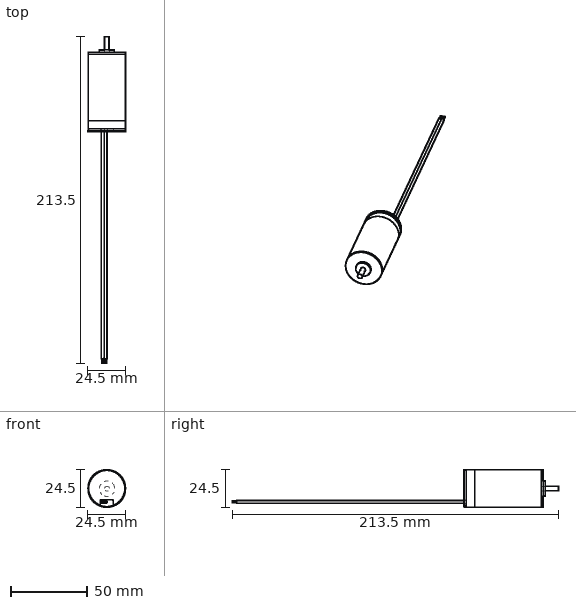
import cadquery as cq

overall_length = 213.5
motor_diameter = 24.5
motor_length = 52.0

flange_thickness = 1.3
boss_diameter = 10.0
boss_height = 1.5

shaft_diameter = 3.2
shaft_reach = 10.0

cap_length = 7.3
cap_rim_thickness = 0.5
cover_thickness = 0.6
spigot_length = 1.3

slot_width = 8.5
slot_top_z = -7.5
slot_corner_radius = 0.6

lead_diameter = 2.0
lead_contact_x = -1.7
lead_z = -8.8
bare_diameter = 1.3
bare_length = 3.0

flange_back_y = -flange_thickness
cover_end_y = -motor_length
cap_front_y = cover_end_y + cap_length
cap_end_y = cover_end_y + cover_thickness
recess_floor_y = cap_end_y + spigot_length
lead_end_y = shaft_reach - overall_length
insulation_end_y = lead_end_y + bare_length

spigot_diameter = motor_diameter - 2 * cap_rim_thickness
lead_xs = [lead_contact_x + side * lead_diameter / 2 for side in (-1, 1)]


def rod(diameter, front_y, back_y, x=0.0, z=0.0):
    """Cylinder parallel to Y that runs from front_y back to back_y."""
    plane = cq.Workplane("XZ", origin=(x, front_y, z))
    return plane.circle(diameter / 2).extrude(front_y - back_y)


def make_shaft():
    """Plain shaft that passes through the flange."""
    return rod(shaft_diameter, shaft_reach, flange_back_y)


def make_flange():
    """Front plate and boss with a bore for the shaft."""
    plate = rod(motor_diameter, 0, flange_back_y)
    boss = rod(boss_diameter, boss_height, flange_back_y)
    return plate.union(boss).cut(make_shaft())


def make_can():
    """Cylindrical can between the flange and the end cap."""
    return rod(motor_diameter, flange_back_y, cap_front_y)


def make_cap():
    """End cap with a thin rim around the recess for the cover's spigot."""
    cap = rod(motor_diameter, cap_front_y, cap_end_y)
    return cap.cut(rod(spigot_diameter, recess_floor_y, cap_end_y))


def make_cover():
    """Disc and spigot with a round-cornered slot through both."""
    disc = rod(motor_diameter, cap_end_y, cover_end_y)
    spigot = rod(spigot_diameter, recess_floor_y, cap_end_y)
    slot_length = recess_floor_y - cover_end_y
    slot_height = slot_top_z + motor_diameter / 2
    slot = (
        cq.Workplane("XY", origin=(0, cover_end_y, -motor_diameter / 2))
        .box(slot_width, slot_length, slot_height, centered=(True, False, False))
        .edges("|Y and >Z")
        .fillet(slot_corner_radius)
    )
    return disc.union(spigot).cut(slot)


def make_lead(x):
    """Insulated wire from the recess floor, with a thinner bare tip."""
    insulated = rod(lead_diameter, recess_floor_y, insulation_end_y, x, lead_z)
    bare_tip = rod(bare_diameter, insulation_end_y, lead_end_y, x, lead_z)
    return insulated.union(bare_tip)


shaft = make_shaft()
flange = make_flange()
can = make_can()
cap = make_cap()
cover = make_cover()
leads = [make_lead(x).val() for x in lead_xs]

result = cq.Compound.makeCompound(
    [shaft.val(), flange.val(), can.val(), cap.val(), cover.val(), *leads]
)